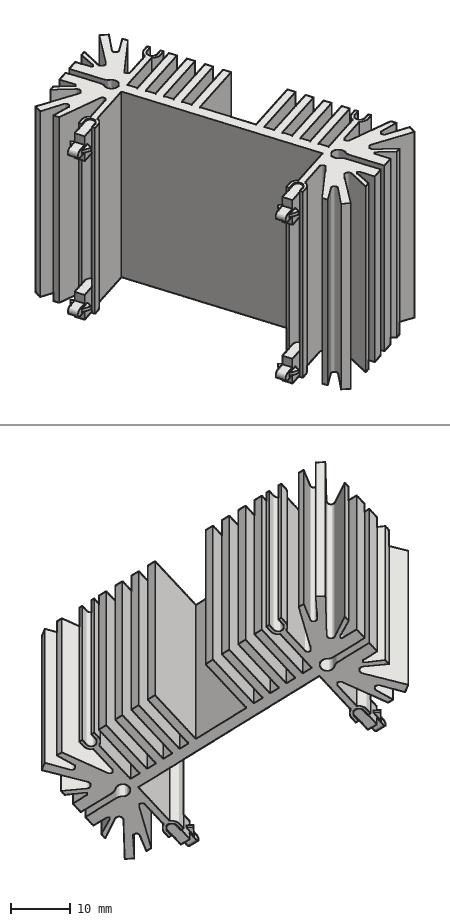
import cadquery as cq


half_width = 29.95
half_depth = 12.45
overall_depth = 29.95
height = 38.6

web_half_thickness = 1.1
fin_thickness = 1.55
first_fin_x = 6.1
last_fin_x = 16.4
fins_per_side = 4
fin_pitch = (last_fin_x - first_fin_x) / (fins_per_side - 1)

column_inner_x = 19.1
column_outer_x = 20.4
column_x = (column_inner_x + column_outer_x) / 2
fork_outer_radius = 1.55
fork_inner_radius = 0.95
fork_centre_y = 11.25

keyhole_x = 21.6
keyhole_radius = 1.25
slot_width = 1.25
slot_lead_in_radius = 1.8

column_root = (column_outer_x, 2.0)
upper_root = (23.55, 5.05)
middle_root = (23.25, 2.2)
lower_root = (25.9, 2.9)
first_tip_inner_x = 25.0
first_tip_outer_x = 26.1
second_tip_inner_x = 28.6
second_tip_outer_y = 11.55
third_tip_upper_y = 6.2
third_tip_lower_y = 5.1
column_root_radius = 0.55
upper_root_radius = 0.6
middle_root_radius = 0.7
lower_root_radius = 0.3

pin_inset = 0.25
pin_block_height = 5.15
pin_block_end_y = -15.05
pin_tip_y = half_depth - overall_depth
tab_thickness = 1.55
barb_thickness = 0.65
barb_back_y = -14.0
barb_tip_y = -14.7
barb_front_y = -16.2
barb_reach = 2.0


def box(x_min, x_max, y_min, y_max, z_min, z_max):
    """Box given by its limits along each axis."""
    size = (x_max - x_min, y_max - y_min, z_max - z_min)
    return cq.Workplane("XY").box(*size, centered=False).translate((x_min, y_min, z_min))


def round_edge(body, corner, radius):
    """Round the upright edge that passes through an (x, y) corner of the profile."""
    edge = cq.selectors.NearestToPointSelector((corner[0], corner[1], height / 2))
    return body.edges("|Z").edges(edge).fillet(radius)


def corner_fins():
    """Half of one column with the radiating fins beside it, for +X +Y."""
    outline = [
        (column_inner_x, 0),
        (column_inner_x, fork_centre_y - fork_inner_radius),
        (column_outer_x, fork_centre_y - fork_inner_radius),
        column_root,
        (first_tip_inner_x, half_depth),
        (first_tip_outer_x, half_depth),
        upper_root,
        (second_tip_inner_x, half_depth),
        (half_width, second_tip_outer_y),
        middle_root,
        (half_width, third_tip_upper_y),
        (half_width, third_tip_lower_y),
        lower_root,
        (half_width, lower_root[1]),
        (half_width, 0),
    ]
    body = cq.Workplane("XY").polyline(outline).close().extrude(height)
    body = round_edge(body, column_root, column_root_radius)
    body = round_edge(body, upper_root, upper_root_radius)
    body = round_edge(body, middle_root, middle_root_radius)
    return round_edge(body, lower_root, lower_root_radius)


def fork_prism(radius, z_min, length):
    """Upright prism with a round bottom that fills a +X +Y fork to the given radius."""
    return (
        cq.Workplane("XY", origin=(column_x, 0, z_min))
        .moveTo(-radius, half_depth)
        .lineTo(-radius, fork_centre_y)
        .threePointArc((0, fork_centre_y - radius), (radius, fork_centre_y))
        .lineTo(radius, half_depth)
        .close()
        .extrude(length)
    )


def keyhole():
    """Slot from the +X end into a round hole, with a rounded lead-in where they meet."""
    slot = box(keyhole_x, half_width, -slot_width / 2, slot_width / 2, 0, height)
    hole = cq.Workplane("XY").center(keyhole_x, 0).circle(keyhole_radius).extrude(height)
    neck_x = keyhole_x + (keyhole_radius**2 - (slot_width / 2) ** 2) ** 0.5
    cutter = slot.union(hole)
    for neck_y in (-slot_width / 2, slot_width / 2):
        cutter = round_edge(cutter, (neck_x, neck_y), slot_lead_in_radius)
    return cutter


def heat_sink():
    """Complete extruded profile."""
    corner = corner_fins()
    corner = corner.union(fork_prism(fork_outer_radius, 0, height))
    corner = corner.cut(fork_prism(fork_inner_radius, 0, height))
    end = corner.union(corner.mirror("XZ")).cut(keyhole())
    body = box(
        -column_inner_x, column_inner_x, -web_half_thickness, web_half_thickness, 0, height
    )
    body = body.union(end).union(end.mirror("YZ"))
    for index in range(fins_per_side):
        fin_x = first_fin_x + index * fin_pitch
        for x in (-fin_x, fin_x):
            fin = box(x - fin_thickness / 2, x + fin_thickness / 2, 0, half_depth, 0, height)
            body = body.union(fin)
    return body


def mounting_pin():
    """Pin in the front fork at +X, at the lower end: block, round-ended tab and two barbs."""
    z_centre = pin_inset + pin_block_height / 2
    x_min = column_x - fork_inner_radius
    x_max = column_x + fork_inner_radius
    root = fork_prism(fork_inner_radius, pin_inset, pin_block_height).mirror("XZ")
    block = box(
        x_min, x_max, pin_block_end_y, -half_depth, pin_inset, pin_inset + pin_block_height
    )
    tab_radius = tab_thickness / 2
    tab_end = pin_tip_y + tab_radius
    tab = box(x_min, x_max, tab_end, -half_depth, z_centre - tab_radius, z_centre + tab_radius)
    tab_round = (
        cq.Workplane("YZ", origin=(x_min, tab_end, z_centre))
        .circle(tab_radius)
        .extrude(x_max - x_min)
    )
    barb_outline = [
        (0, barb_back_y),
        (fork_inner_radius, barb_back_y),
        (barb_reach, barb_tip_y),
        (fork_inner_radius, barb_front_y),
        (0, barb_front_y),
    ]
    barb = (
        cq.Workplane("XY", origin=(0, 0, z_centre - barb_thickness / 2))
        .polyline(barb_outline)
        .close()
        .extrude(barb_thickness)
    )
    barbs = barb.union(barb.mirror("YZ")).translate((column_x, 0, 0))
    return root.union(block).union(tab).union(tab_round).union(barbs)


lower_pin = mounting_pin()
upper_pin = lower_pin.mirror("XY").translate((0, 0, height))
result = heat_sink()
for pin in (lower_pin, upper_pin):
    result = result.union(pin).union(pin.mirror("YZ"))